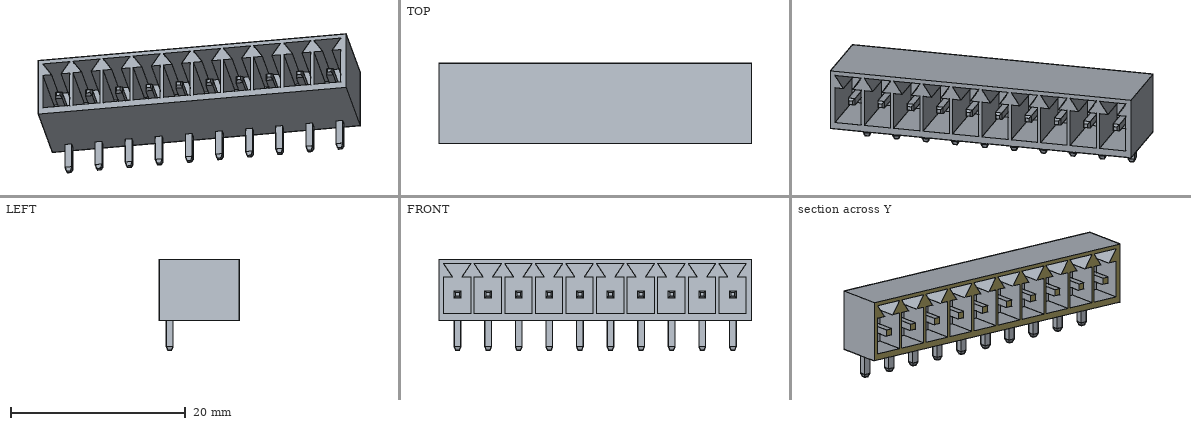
import cadquery as cq

length = 35.8
depth = 9.2
height = 7.0

pole_count = 10
row_length = 31.5
row_offset = 0.043
pitch = row_length / (pole_count - 1)
first_pole_x = (length - row_length) / 2 - row_offset

cavity_width = 3.1
cavity_depth = 7.15
cavity_floor = 0.8
socket_top = 5.0
keyway_top = 6.5
keyway_neck = 1.1

pin_size = 0.8
tip_size = 0.43
tip_length = 0.43
contact_z = 3.0
contact_recess = 1.0
leg_inset = 1.2
leg_length = 3.4
pin_offset = 0.05


def cavity_cutter(x):
    """Socket and dovetail keyway, open at the front face."""
    half_width = cavity_width / 2
    half_neck = keyway_neck / 2
    outline = [
        (x - half_width, cavity_floor),
        (x + half_width, cavity_floor),
        (x + half_width, socket_top),
        (x + half_neck, socket_top),
        (x + half_width, keyway_top),
        (x - half_width, keyway_top),
        (x - half_neck, socket_top),
        (x - half_width, socket_top),
    ]
    return cq.Workplane("XZ").polyline(outline).close().extrude(-cavity_depth)


def tapered_bar(origin, direction, bar_length):
    """Square bar from origin along direction, ending in a tapered tip."""
    plane = cq.Plane(origin=origin, xDir=(1, 0, 0), normal=direction)
    shank_length = bar_length - tip_length
    shank = cq.Workplane(plane).rect(pin_size, pin_size).extrude(shank_length)
    tip = (
        cq.Workplane(plane)
        .workplane(offset=shank_length)
        .rect(pin_size, pin_size)
        .workplane(offset=tip_length)
        .rect(tip_size, tip_size)
        .loft(combine=True)
    )
    return shank.union(tip)


def angled_pin(x):
    """Contact pointing to the front and solder leg pointing down, meeting at the bend."""
    bend = (x + pin_offset, depth - leg_inset, contact_z)
    contact = tapered_bar(bend, (0, -1, 0), depth - leg_inset - contact_recess)
    leg = tapered_bar(bend, (0, 0, -1), contact_z + leg_length)
    return contact.union(leg)


result = cq.Workplane("XY").box(length, depth, height, centered=False)
pole_positions = [first_pole_x + index * pitch for index in range(pole_count)]

for pole_x in pole_positions:
    result = result.cut(cavity_cutter(pole_x))

for pole_x in pole_positions:
    result = result.union(angled_pin(pole_x))